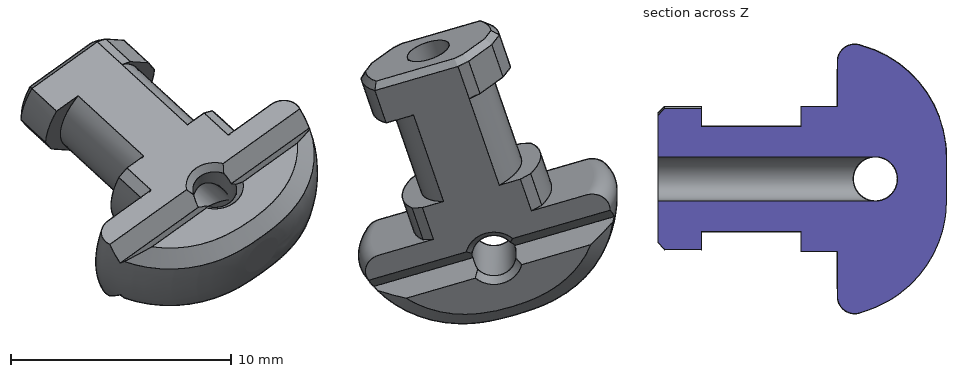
import cadquery as cq
import math

length = 13.12
head_width = 12.25
thickness = 4.0
half_thickness = thickness / 2

block_length = 2.0
neck_end = 6.5
head_back = 8.15
shank_radius = 3.3
neck_radius = 2.4
end_chamfer = 0.3
flange_flat_distance = 2.9
flange_flat_angle = 60.0

cam_inner = (1.84, 1.76)
cam_outer = (2.94, 0.65)
cam_end_z = -0.2

dome_radius = 5.27
back_fillet = 0.8
rim_chamfer = 0.6

hole_diameter = 2.0
hole_x = 9.88
countersink = 0.3
groove_half_width = 0.68
groove_depth = 0.76

overlap = 0.13


def flat_slab():
    """Slab between the two flat faces, larger than the part in X and Y."""
    return cq.Workplane("XY").box(3 * length, 3 * length, thickness)


def shank_cylinder(radius, start, end):
    """Cylinder about the X axis from x = start to x = end."""
    return cq.Workplane("YZ", origin=(start, 0, 0)).circle(radius).extrude(end - start)


def on_circle(radius, z):
    """Point (y, z) of a circle about the shank axis, on its +Y side."""
    return (math.sqrt(radius**2 - z**2), z)


def make_block():
    """Bayonet block: an arc and a run of cam flats, repeated after half a turn."""
    cam_start = on_circle(neck_radius, half_thickness)
    cam_end = on_circle(shank_radius, cam_end_z)
    arc_end = on_circle(shank_radius, -half_thickness)
    arc_angle = (math.atan2(cam_end[1], cam_end[0]) + math.atan2(arc_end[1], arc_end[0])) / 2
    arc_middle = (shank_radius * math.cos(arc_angle), shank_radius * math.sin(arc_angle))

    outline = cq.Workplane("YZ").moveTo(-arc_end[0], -arc_end[1])
    for side in (1, -1):
        for corner in (cam_start, cam_inner, cam_outer, cam_end):
            outline = outline.lineTo(side * corner[0], side * corner[1])
        outline = outline.threePointArc(
            (side * arc_middle[0], side * arc_middle[1]),
            (side * arc_end[0], side * arc_end[1]),
        )
    block = outline.close().extrude(block_length)
    return block.faces("<X").edges().chamfer(end_chamfer)


def make_flange():
    """Round flange whose corners beside the flat faces are cut by slanted flats."""
    flange = shank_cylinder(shank_radius, neck_end, head_back + overlap)
    for angle in (flange_flat_angle, -flange_flat_angle):
        flats = cq.Workplane("XY").box(3 * length, 2 * flange_flat_distance, 3 * length)
        flange = flange.intersect(flats.rotate((0, 0, 0), (1, 0, 0), angle))
    return flange


def make_head():
    """Dome with a flat back, a rounded back rim and a small flat tip."""
    dome_x = length - dome_radius
    fillet_x = head_back + back_fillet
    fillet_r = head_width / 2 - back_fillet
    dome_r = fillet_r - math.sqrt((dome_radius - back_fillet) ** 2 - (fillet_x - dome_x) ** 2)
    touch_angle = math.atan2(fillet_r - dome_r, fillet_x - dome_x)

    def fillet_point(angle):
        return (fillet_x + back_fillet * math.cos(angle), fillet_r + back_fillet * math.sin(angle))

    def dome_point(angle):
        return (dome_x + dome_radius * math.cos(angle), dome_r + dome_radius * math.sin(angle))

    profile = (
        cq.Workplane("XY")
        .moveTo(head_back, 0)
        .lineTo(head_back, fillet_r)
        .threePointArc(fillet_point((math.pi + touch_angle) / 2), fillet_point(touch_angle))
        .threePointArc(dome_point(touch_angle / 2), dome_point(0))
        .lineTo(length, 0)
        .close()
    )
    return profile.revolve(360, (0, 0, 0), (1, 0, 0)).intersect(flat_slab())


def chamfer_rim(head):
    """Bevel the dome rim of both flat faces, only on the part beyond the groove centre."""
    front_zone = cq.Workplane("XY", origin=(hole_x + length, 0, 0)).box(2 * length, 2 * head_width, length)
    back = head.cut(front_zone)
    front = head.intersect(front_zone)
    rim = front.faces("|Z").edges("not |Y")
    return back.union(front.newObject(rim.vals()).chamfer(rim_chamfer))


def cut_grooves(head):
    """V groove along Y across both flat faces."""
    for side in (1, -1):
        groove = (
            cq.Workplane("XZ", origin=(0, head_width, 0))
            .moveTo(hole_x - groove_half_width, side * half_thickness)
            .lineTo(hole_x, side * (half_thickness - groove_depth))
            .lineTo(hole_x + groove_half_width, side * half_thickness)
            .close()
            .extrude(2 * head_width)
        )
        head = head.cut(groove)
    return head


def cross_hole():
    """Hole along Z with a countersink at both flat faces."""
    radius = hole_diameter / 2
    hole = cq.Workplane("XY", origin=(hole_x, 0, 0)).circle(radius).extrude(thickness, both=True)
    for side in (1, -1):
        cone = cq.Solid.makeCone(
            radius + countersink,
            radius,
            countersink,
            cq.Vector(hole_x, 0, side * half_thickness),
            cq.Vector(0, 0, -side),
        )
        hole = hole.union(cq.Workplane(cone))
    return hole


shank = make_block().union(shank_cylinder(neck_radius, block_length - overlap, neck_end + overlap))
shank = shank.union(make_flange()).intersect(flat_slab())
head = cut_grooves(chamfer_rim(make_head()))

axial_bore = shank_cylinder(hole_diameter / 2, -overlap, hole_x)

result = shank.union(head).cut(cross_hole()).cut(axial_bore)